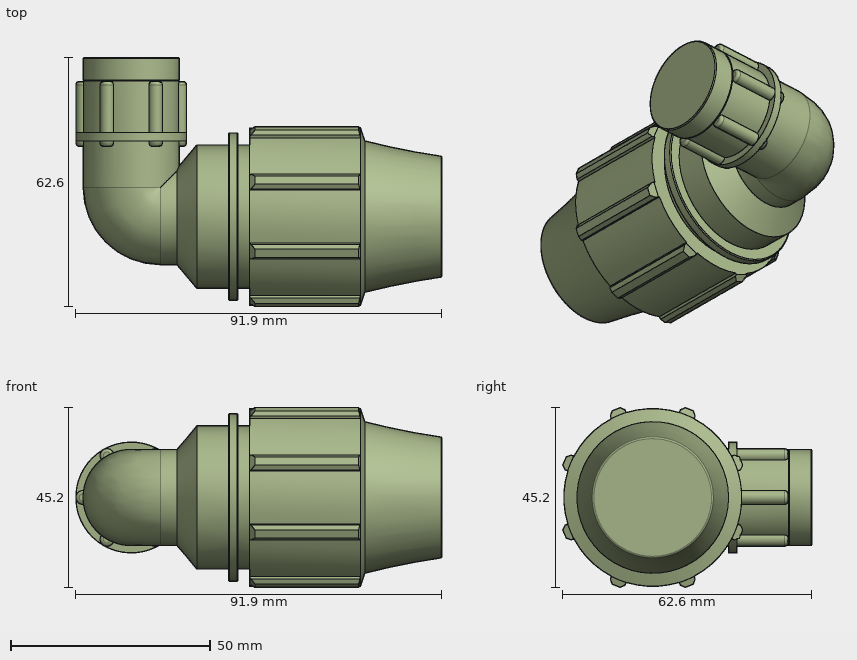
import cadquery as cq
import math

overall_length = 91.9

pipe_radius = 24.2 / 2
bend_offset = 7.4

branch_end = 40.0
mouth_start = 34.0
mouth_chamfer = 0.3
branch_flange_radius = 27.9 / 2
branch_flange_start = 19.0
branch_flange_end = 21.1
grip_radius = 12.0
grip_rib_count = 6
grip_rib_radius = 1.75
grip_rib_circle = 12.1
grip_rib_start = 17.65
grip_rib_end = 33.9
grip_rib_fillet = 0.8

cone_start = 11.5
body_start = 16.5
body_radius = 36.0 / 2
body_flange_radius = 21.05
body_flange_start = 24.4
body_flange_end = 26.8
body_flange_chamfer = 0.3

nut_start = 29.7
nut_radius = 22.3
nut_shoulder_start = 57.55
nose_start = 58.65
nose_end = overall_length - branch_flange_radius
nose_base_radius = 19.0
nose_middle_radius = 16.8
nose_tip_radius = 15.2
nose_fillet = 0.5

nut_rib_count = 8
nut_rib_tip_radius = 24.0
nut_rib_shoulder_radius = 23.0
nut_rib_base_half_width = 2.0
nut_rib_tip_half_width = 1.1
nut_rib_slope_length = 1.4
nut_rib_end_setback = 0.5
nut_rib_root_depth = 0.9
nut_rib_root_radius = nut_radius - nut_rib_root_depth


def cylinder_x(radius, start, end):
    return cq.Workplane("YZ", origin=(start, 0, 0)).circle(radius).extrude(end - start)


def cylinder_y(radius, start, end):
    return cq.Workplane("XZ", origin=(0, start, 0)).circle(radius).extrude(start - end)


def make_bend():
    half_chord = math.sqrt(pipe_radius**2 - bend_offset**2)
    section = (
        cq.Workplane("XZ", origin=(0, bend_offset, 0))
        .moveTo(bend_offset, half_chord)
        .threePointArc((-pipe_radius, 0), (bend_offset, -half_chord))
        .close()
    )
    return section.revolve(90, (bend_offset, 0, 0), (bend_offset, 1, 0))


def make_branch():
    mouth = cylinder_y(pipe_radius, mouth_start, branch_end).edges().chamfer(mouth_chamfer)
    branch = cylinder_y(pipe_radius, bend_offset, branch_flange_end)
    branch = branch.union(cylinder_y(grip_radius, branch_flange_end, mouth_start))
    branch = branch.union(mouth)
    branch = branch.union(cylinder_y(branch_flange_radius, branch_flange_start, branch_flange_end))
    rib = (
        cylinder_y(grip_rib_radius, grip_rib_start, grip_rib_end)
        .edges()
        .fillet(grip_rib_fillet)
        .translate((grip_rib_circle, 0, 0))
    )
    for index in range(grip_rib_count):
        angle = index * 360 / grip_rib_count
        branch = branch.union(rib.rotate((0, 0, 0), (0, 1, 0), angle))
    return branch


def make_body():
    body = cylinder_x(pipe_radius, bend_offset, cone_start)
    profile = [
        (cone_start, 0),
        (cone_start, pipe_radius),
        (body_start, body_radius),
        (nut_start, body_radius),
        (nut_start, 0),
    ]
    body = body.union(cq.Workplane("XY").polyline(profile).close().revolve(360, (0, 0, 0), (1, 0, 0)))
    flange = cylinder_x(body_flange_radius, body_flange_start, body_flange_end)
    return body.union(flange.edges().chamfer(body_flange_chamfer))


def make_nut_rib():
    rib = (
        cq.Workplane("YZ", origin=(nut_start, 0, 0))
        .polyline([
            (nut_rib_root_radius, -nut_rib_base_half_width),
            (nut_rib_shoulder_radius, -nut_rib_base_half_width),
            (nut_rib_tip_radius, -nut_rib_tip_half_width),
            (nut_rib_tip_radius, nut_rib_tip_half_width),
            (nut_rib_shoulder_radius, nut_rib_base_half_width),
            (nut_rib_root_radius, nut_rib_base_half_width),
        ])
        .close()
        .extrude(nut_shoulder_start - nut_start)
    )
    outline = (
        cq.Workplane("XY")
        .polyline([
            (nut_start, nut_rib_root_radius),
            (nut_start, nut_rib_tip_radius - nut_rib_slope_length),
            (nut_start + nut_rib_slope_length, nut_rib_tip_radius),
            (nut_shoulder_start - nut_rib_end_setback, nut_rib_tip_radius),
            (nut_shoulder_start, nut_radius),
            (nut_shoulder_start, nut_rib_root_radius),
        ])
        .close()
        .extrude(nut_rib_base_half_width, both=True)
    )
    return rib.intersect(outline)


def make_nut():
    nut = (
        cq.Workplane("XY")
        .moveTo(nut_start, 0)
        .lineTo(nut_start, nut_radius)
        .lineTo(nut_shoulder_start, nut_radius)
        .lineTo(nose_start, nose_base_radius)
        .threePointArc(
            ((nose_start + nose_end) / 2, nose_middle_radius),
            (nose_end, nose_tip_radius),
        )
        .lineTo(nose_end, 0)
        .close()
        .revolve(360, (0, 0, 0), (1, 0, 0))
    )
    nut = nut.faces(">X").edges().fillet(nose_fillet)
    rib = make_nut_rib()
    rib_spacing = 360 / nut_rib_count
    for index in range(nut_rib_count):
        angle = (index + 0.5) * rib_spacing
        nut = nut.union(rib.rotate((0, 0, 0), (1, 0, 0), angle))
    return nut


result = make_bend().union(make_branch()).union(make_body()).union(make_nut())